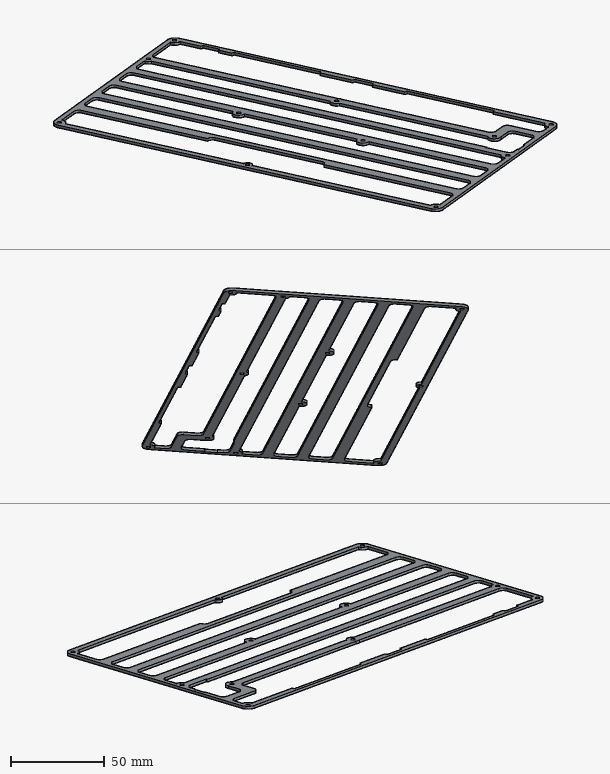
import cadquery as cq

grid_pitch = 19.05
length = 238.12
width = 7 * grid_pitch
thickness = 1.6
corner_radius = 4.7

side_rail = 3.1
end_rail = 3.8
inner_x = length / 2 - side_rail
inner_y = width / 2 - end_rail
window_radius = 3.0

window_height = 13.0
first_window_y = 7.8
plain_window_count = 3

rear_window_bottom = 37.8
bracket_left = 94.1
bracket_right = 100.3
bracket_top = 51.1
bracket_underside = 45.7

second_window_top = 32.5
second_window_bottom = 19.8
floor_relief_depth = 0.7
side_relief_depth = 0.6
side_relief_bottom = 25.4
side_relief_top = 32.3

front_window_top = -43.3
front_notch_half_length = 35.5
front_notch_depth = 3.05
front_notch_radius = 2.5

rear_relief_depth = 1.5
small_radius = 0.5
relief_overlap = 1.0
rear_reliefs_x = [(-98.9, -88.5), (-79.9, -26.3), (-5.9, 5.9), (26.3, 79.9)]

hole_diameter = 2.2
boss_radius = 3.55
front_boss_radius = 2.6
hole_x = 115.55
hole_y = 63.15
bracket_hole_y = 34.5
right_hole_y = 15.5
middle_hole_x = 2 * grid_pitch
middle_hole_y = -4.8
screw_holes = [
    (-hole_x, hole_y),
    (hole_x, hole_y),
    (-hole_x, -hole_y),
    (hole_x, -hole_y),
    (-hole_x, bracket_hole_y),
    (0, bracket_hole_y),
    (bracket_right - boss_radius, bracket_hole_y),
    (hole_x, right_hole_y),
    (-middle_hole_x, middle_hole_y),
    (middle_hole_x, middle_hole_y),
]
front_hole = (0, -hole_y)


def block(left, right, bottom, top):
    """Full-thickness rectangular block between the given edges."""
    return (
        cq.Workplane("XY")
        .center((left + right) / 2, (bottom + top) / 2)
        .rect(right - left, top - bottom)
        .extrude(thickness)
    )


def rounded(body):
    """Round every upright corner of a window."""
    return body.edges("|Z").fillet(window_radius)


def discs(points, radius):
    """Full-thickness discs at the given points."""
    return cq.Workplane("XY").pushPoints(points).circle(radius).extrude(thickness)


def rear_window():
    """Rear window, cut short by the bracket, with reliefs in its rear edge."""
    main = block(-inner_x, inner_x, rear_window_bottom, inner_y)
    bracket = block(bracket_left, inner_x, rear_window_bottom, bracket_top)
    window = rounded(main.cut(bracket))
    for left, right in rear_reliefs_x:
        window = window.union(block(left, right, inner_y - relief_overlap, inner_y + rear_relief_depth))
    reliefs_left = rear_reliefs_x[0][0] - small_radius
    reliefs_right = rear_reliefs_x[-1][1] + small_radius
    relief_corners = cq.selectors.BoxSelector(
        (reliefs_left, inner_y - small_radius, 0),
        (reliefs_right, inner_y + rear_relief_depth + small_radius, thickness),
    )
    return window.edges("|Z").edges(relief_corners).fillet(small_radius)


def second_window():
    """Long window that rises beside the bracket at its right end."""
    main = rounded(block(-inner_x, bracket_right + 2 * window_radius, second_window_bottom, second_window_top))
    pocket_bottom = second_window_bottom - floor_relief_depth
    pocket = block(bracket_right, inner_x, pocket_bottom, bracket_underside)
    pocket = pocket.edges("|Z and (>X or >Y)").fillet(window_radius)
    side_relief = block(bracket_right, inner_x + side_relief_depth, side_relief_bottom, side_relief_top)
    window = main.union(pocket).union(side_relief)
    bracket_corner = (bracket_right, second_window_top, thickness / 2)
    return window.edges(cq.selectors.NearestToPointSelector(bracket_corner)).fillet(boss_radius)


def plain_window(center_y):
    """Rounded full-length window centred on the given Y."""
    return rounded(block(-inner_x, inner_x, center_y - window_height / 2, center_y + window_height / 2))


def front_window():
    """Front window with the raised notch in its rear edge."""
    main = rounded(block(-inner_x, inner_x, -inner_y, front_window_top))
    notch_top = front_window_top + front_notch_depth
    notch = block(-front_notch_half_length, front_notch_half_length, -inner_y, notch_top)
    window = main.union(notch.edges("|Z and >Y").fillet(front_notch_radius))
    for x in (-front_notch_half_length, front_notch_half_length):
        notch_root = cq.selectors.NearestToPointSelector((x, front_window_top, thickness / 2))
        window = window.edges(notch_root).fillet(small_radius)
    return window


plate = cq.Workplane("XY").rect(length, width).extrude(thickness)
plate = plate.edges("|Z").fillet(corner_radius)
outline = plate

plate = plate.cut(rear_window()).cut(second_window()).cut(front_window())
for row in range(plain_window_count):
    plate = plate.cut(plain_window(first_window_y - row * grid_pitch))

bosses = discs(screw_holes, boss_radius).union(discs([front_hole], front_boss_radius))
plate = plate.union(bosses.intersect(outline))
result = plate.cut(discs(screw_holes + [front_hole], hole_diameter / 2))